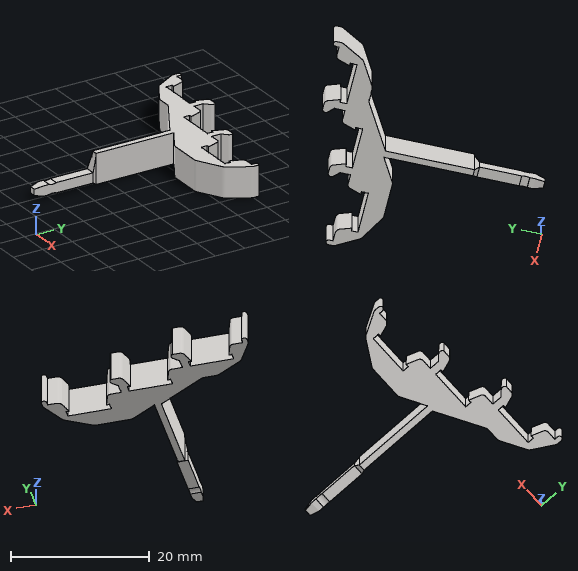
import cadquery as cq
import math

height = 5.0
half_span = 16.2
step_drop = 3.2
step_pitch = 9.98
pocket_width = 6.48
pocket_count = 3
first_floor = 30.87

undercut_height = 0.98
lip = 0.45
shoulder_height = 2.7
flank_run = 0.6
shoulder_run = 0.63
end_shoulder_run = 0.85
shoulder_bulge = 0.15

neck_width = 1.2
neck_height = 1.55
catch_reach = 1.82
nose_reach = 2.15
nose_height = 2.3
nose_tuck = 0.18

finger_width = 0.8
finger_rise = 0.95
finger_radius = finger_width / 2
finger_root_drop = 0.3

upper_flat = 27.82
lower_flat = 21.42
stem_root = 23.65
upper_flat_length = 2.35
lower_flat_length = 5.65
corner_radius = 1.0
outer_corner_radius = 1.25
shallow_slope = math.tan(math.radians(30))
steep_slope = math.tan(math.radians(60))

stem_width = 1.05
stem_end = 10.45
stem_overlap = 0.35
stem_chamfer_top = 4.5
pin_start = 9.8
pin_size = 1.68
pin_bottom = 0.52
pin_center_z = pin_bottom + pin_size / 2
groove_back = 3.55
groove_front = 2.35
groove_depth = 0.122
taper_start = 1.47
tip_size = 1.05

half_stem = stem_width / 2
ledge_height = step_drop
last_floor = first_floor - (pocket_count - 1) * step_drop
first_wall = -step_pitch * (pocket_count - 1) / 2 - pocket_width / 2


def shoulder_bulge_point(lower, upper, side):
    """Middle of a shoulder arc; side is +1 if the arc bulges toward +X."""
    run = upper[0] - lower[0]
    rise = upper[1] - lower[1]
    length = math.hypot(run, rise)
    offset = shoulder_bulge / length
    mid_x = (lower[0] + upper[0]) / 2 + side * rise * offset
    mid_y = (lower[1] + upper[1]) / 2 + abs(run) * offset
    return (mid_x, mid_y)


def draw_left_hook(outline, wall, floor):
    """From the ledge, over the shoulder and lip, down to the pocket floor."""
    tip = (wall + lip, floor + undercut_height)
    lower = (tip[0] - flank_run, floor + shoulder_height)
    upper = (lower[0] - shoulder_run, floor + ledge_height)
    outline = outline.lineTo(*upper)
    outline = outline.threePointArc(shoulder_bulge_point(lower, upper, 1), lower)
    outline = outline.lineTo(*tip).lineTo(wall, tip[1])
    return outline.lineTo(wall, floor)


def draw_right_hook(outline, wall, floor, run):
    """From the pocket floor, around the lip and shoulder, up to the ledge."""
    tip = (wall - lip, floor + undercut_height)
    lower = (tip[0] + flank_run, floor + shoulder_height)
    upper = (lower[0] + run, floor + ledge_height)
    outline = outline.lineTo(wall, floor).lineTo(wall, tip[1])
    outline = outline.lineTo(*tip).lineTo(*lower)
    return outline.threePointArc(shoulder_bulge_point(lower, upper, -1), upper)


def draw_catch(outline, wall, floor):
    """Rounded nose and neck, ending on the ledge of the next hook."""
    top = floor + ledge_height
    nose_side = (wall + nose_reach, (top + floor + nose_height) / 2)
    nose_end = (wall + nose_reach - nose_tuck, floor + nose_height)
    outline = outline.lineTo(wall + catch_reach, top)
    outline = outline.threePointArc(nose_side, nose_end)
    outline = outline.lineTo(wall + neck_width, floor + neck_height)
    return outline.lineTo(wall + neck_width, floor)


def underside_end(flat_x, flat_y, root_y):
    """Distance from X = 0 and height where the shallow and steep slopes meet."""
    steep_base = root_y - steep_slope * half_span
    shallow_base = flat_y - shallow_slope * flat_x
    x = (shallow_base - steep_base) / (steep_slope - shallow_slope)
    return x, shallow_base + shallow_slope * x


def round_corners(body, corners, radius):
    for x, y in corners:
        corner_edge = cq.selectors.NearestToPointSelector((x, y, height / 2))
        body = body.edges(corner_edge).fillet(radius)
    return body


def make_body():
    left_ledge = first_floor + ledge_height
    right_ledge = last_floor + ledge_height
    left_root = left_ledge - finger_root_drop
    right_root = right_ledge - finger_root_drop
    finger_inner = half_span - finger_width
    finger_middle = half_span - finger_radius
    left_tip = left_ledge + finger_rise
    right_tip = right_ledge + finger_rise

    outline = cq.Workplane("XY").moveTo(-half_span, left_root)
    outline = outline.lineTo(-half_span, left_tip - finger_radius)
    outline = outline.threePointArc((-finger_middle, left_tip), (-finger_inner, left_tip - finger_radius))
    outline = outline.lineTo(-finger_inner, left_ledge)
    for index in range(pocket_count):
        floor = first_floor - index * step_drop
        wall = first_wall + index * step_pitch
        outline = draw_left_hook(outline, wall, floor)
        run = shoulder_run if index < pocket_count - 1 else end_shoulder_run
        outline = draw_right_hook(outline, wall + pocket_width, floor, run)
        if index < pocket_count - 1:
            outline = draw_catch(outline, wall + pocket_width, floor)
    outline = outline.lineTo(finger_inner, right_ledge)
    outline = outline.lineTo(finger_inner, right_tip - finger_radius)
    outline = outline.threePointArc((finger_middle, right_tip), (half_span, right_tip - finger_radius))
    outline = outline.lineTo(half_span, right_root)

    lower_start = half_stem + (stem_root - lower_flat) / shallow_slope
    lower_end = lower_start + lower_flat_length
    upper_start = -half_stem - (upper_flat - stem_root) / shallow_slope
    upper_end = upper_start - upper_flat_length
    right_x, right_y = underside_end(lower_end, lower_flat, right_root)
    left_x, left_y = underside_end(-upper_end, upper_flat, left_root)
    right_corner = (right_x, right_y)
    left_corner = (-left_x, left_y)
    lower_corners = [(lower_end, lower_flat), (lower_start, lower_flat)]
    upper_corners = [(upper_start, upper_flat), (upper_end, upper_flat)]
    finger_roots = [(half_span, right_root), (-half_span, left_root)]
    for corner in [right_corner] + lower_corners:
        outline = outline.lineTo(*corner)
    outline = outline.lineTo(half_stem, stem_root).lineTo(-half_stem, stem_root)
    for corner in upper_corners + [left_corner]:
        outline = outline.lineTo(*corner)
    body = outline.close().extrude(height)
    body = round_corners(body, lower_corners + upper_corners + finger_roots, corner_radius)
    return round_corners(body, [left_corner, right_corner], outer_corner_radius)


def box_between(width, y_min, y_max, z_min, z_max):
    box = cq.Workplane("XY").box(width, y_max - y_min, z_max - z_min, centered=(True, False, False))
    return box.translate((0, y_min, z_min))


def rectangle_loft(y_start, start_size, start_z, y_end, end_size, end_z):
    """Loft toward -Y between (width, height) rectangles at the given centre heights."""
    loft = cq.Workplane("XZ", origin=(0, y_start, 0)).center(0, start_z).rect(*start_size)
    loft = loft.workplane(offset=y_start - y_end).center(0, end_z - start_z).rect(*end_size)
    return loft.loft(ruled=True)


def make_pin():
    pin_section = (pin_size, pin_size)
    transition = rectangle_loft(
        stem_end, (stem_width, stem_chamfer_top), stem_chamfer_top / 2,
        pin_start, pin_section, pin_center_z,
    )
    shank = box_between(pin_size, taper_start, pin_start, pin_bottom, pin_bottom + pin_size)
    taper = rectangle_loft(taper_start, pin_section, pin_center_z, 0, (tip_size, tip_size), pin_center_z)
    return transition.union(shank).union(taper)


def make_groove(side):
    """Shallow arc across the top (side = 1) or bottom (side = -1) of the pin."""
    surface = pin_center_z + side * pin_size / 2
    deepest = ((groove_back + groove_front) / 2, surface - side * groove_depth)
    groove = cq.Workplane("YZ").moveTo(groove_back, surface)
    groove = groove.threePointArc(deepest, (groove_front, surface)).close()
    return groove.extrude(pin_size / 2, both=True)


stem = box_between(stem_width, stem_end, stem_root + stem_overlap, 0, height)
result = make_body().union(stem).union(make_pin())
for groove_side in (1, -1):
    result = result.cut(make_groove(groove_side))